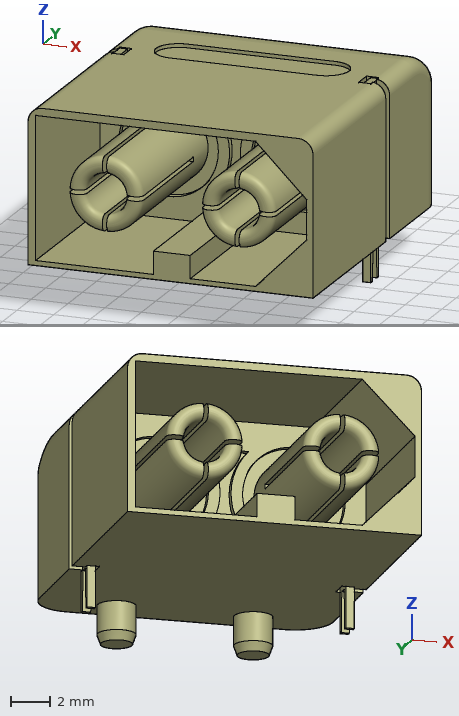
import cadquery as cq

WIDTH = 15.5
LENGTH = 18.2
HEIGHT = 8.4
BACK_TOP_RADIUS = 4.0
BACK_CORNER_RADIUS = 2.0
TOP_SIDE_RADIUS = 0.8

CAVITY_LEFT = -7.33
CAVITY_RIGHT = 7.4
CAVITY_BOTTOM = 0.27
CAVITY_TOP = 7.99
CAVITY_CORNER = 2.78
CAVITY_DEPTH = 9.0

KEY_WIDTH = 2.0
KEY_CENTER_X = 0.07
KEY_TOP = 1.51

CONTACT_SPACING = 7.2
CONTACT_Z = 4.15
CONTACT_DIAMETER = 4.0
CONTACT_BORE = 2.2
CONTACT_TIP_Y = 0.04
CONTACT_TIP_RADIUS = 0.4
CONTACT_SLOT_WIDTH = 0.24
CONTACT_SLOT_LENGTH = 7.28
CONTACT_RECESS_DIAMETER = 5.4

WALL_RECESS_DEPTH = 0.36
WALL_RECESS_BACK = CAVITY_DEPTH + WALL_RECESS_DEPTH
WEB_ARC_RADIUS = 3.31
WEB_TOP = 6.45
WEB_BOTTOM = 1.95

TOP_RECESS_LENGTH = 10.5
TOP_RECESS_WIDTH = 2.5
TOP_RECESS_Y = 11.47
TOP_RECESS_DEPTH = 0.2

CLIP_Y = 10.45
CLIP_WIDTH = 1.11
CLIP_THICKNESS = 0.44
CLIP_TOP = HEIGHT - 0.05
CLIP_OUTER_X = 7.05
CLIP_SLOT_INNER_X = 6.39
SIDE_SLIT_WIDTH = 0.55
LEG_LENGTH = 2.18
LEG_GAP_TOP = 0.42
LEG_GAP_BOTTOM = 0.64
LEG_GAP_DROP = 0.05

PEG_DIAMETER = 2.0
PEG_TIP_DIAMETER = 1.64
PEG_LENGTH = 2.02
PEG_TIP_LENGTH = 0.5
PEG_Y = 16.49

CONTACT_XS = (-CONTACT_SPACING / 2, CONTACT_SPACING / 2)


def box(x0, x1, y0, y1, z0, z1):
    return cq.Workplane("XY").box(x1 - x0, y1 - y0, z1 - z0, centered=False).translate((x0, y0, z0))


def rod_along_y(diameter, x, y0, y1):
    """Cylinder on a contact axis, from y0 to y1."""
    plane = cq.Workplane("XZ", origin=(x, y0, CONTACT_Z))
    return plane.circle(diameter / 2).extrude(y0 - y1)


def housing():
    """Block with a rounded back, kept where its plan shape and its side profile overlap."""
    block = cq.Workplane("XY").box(WIDTH, LENGTH, HEIGHT, centered=(True, False, False))
    plan = block.edges("|Z and >Y").fillet(BACK_CORNER_RADIUS)
    profile = block.edges(">Y and >Z").fillet(BACK_TOP_RADIUS)
    return plan.intersect(profile).faces(">Z").edges("|Y").fillet(TOP_SIDE_RADIUS)


def cavity():
    """Space of the mating cavity, leaving the key standing."""
    outline = [
        (CAVITY_LEFT, CAVITY_BOTTOM),
        (CAVITY_RIGHT - CAVITY_CORNER, CAVITY_BOTTOM),
        (CAVITY_RIGHT, CAVITY_BOTTOM + CAVITY_CORNER),
        (CAVITY_RIGHT, CAVITY_TOP - CAVITY_CORNER),
        (CAVITY_RIGHT - CAVITY_CORNER, CAVITY_TOP),
        (CAVITY_LEFT, CAVITY_TOP),
    ]
    space = cq.Workplane("XZ").polyline(outline).close().extrude(-CAVITY_DEPTH)
    key_left = KEY_CENTER_X - KEY_WIDTH / 2
    return space.cut(box(key_left, key_left + KEY_WIDTH, 0, CAVITY_DEPTH, 0, KEY_TOP))


def web_recess():
    """Hourglass recess whose sides are arcs about the two contact axes."""
    half_spacing = CONTACT_SPACING / 2
    recess = box(-half_spacing, half_spacing, CAVITY_DEPTH, WALL_RECESS_BACK, WEB_BOTTOM, WEB_TOP)
    for x in CONTACT_XS:
        recess = recess.cut(rod_along_y(2 * WEB_ARC_RADIUS, x, CAVITY_DEPTH, WALL_RECESS_BACK))
    return recess


def contact(x):
    """Tube with a rounded tip, split into four fingers by a cross of slots as deep as its bore."""
    tube = rod_along_y(CONTACT_DIAMETER, x, CONTACT_TIP_Y, WALL_RECESS_BACK)
    slot_end = CONTACT_TIP_Y + CONTACT_SLOT_LENGTH
    tube = tube.cut(rod_along_y(CONTACT_BORE, x, CONTACT_TIP_Y, slot_end))
    tube = tube.faces("<Y").edges().fillet(CONTACT_TIP_RADIUS)
    long_half = CONTACT_DIAMETER / 2
    thin_half = CONTACT_SLOT_WIDTH / 2
    for half_x, half_z in ((long_half, thin_half), (thin_half, long_half)):
        slot = box(x - half_x, x + half_x, CONTACT_TIP_Y, slot_end, CONTACT_Z - half_z, CONTACT_Z + half_z)
        tube = tube.cut(slot)
    return tube


def top_recess():
    plane = cq.Workplane("XY", origin=(0, TOP_RECESS_Y, HEIGHT))
    return plane.slot2D(TOP_RECESS_LENGTH, TOP_RECESS_WIDTH).extrude(-TOP_RECESS_DEPTH)


def clip_slot():
    """Right-hand clip slot and the slit joining it to the side face."""
    half_clip = CLIP_WIDTH / 2
    half_slit = SIDE_SLIT_WIDTH / 2
    slot = box(CLIP_SLOT_INNER_X, CLIP_OUTER_X, CLIP_Y - half_clip, CLIP_Y + half_clip, 0, HEIGHT)
    return slot.union(box(CLIP_OUTER_X, WIDTH / 2, CLIP_Y - half_slit, CLIP_Y + half_slit, 0, HEIGHT))


def clip():
    """Right-hand clip, forked into two legs below the housing."""
    half = CLIP_WIDTH / 2
    outline = [
        (CLIP_Y - half, CLIP_TOP),
        (CLIP_Y - half, -LEG_LENGTH),
        (CLIP_Y - LEG_GAP_BOTTOM / 2, -LEG_LENGTH),
        (CLIP_Y - LEG_GAP_TOP / 2, -LEG_GAP_DROP),
        (CLIP_Y + LEG_GAP_TOP / 2, -LEG_GAP_DROP),
        (CLIP_Y + LEG_GAP_BOTTOM / 2, -LEG_LENGTH),
        (CLIP_Y + half, -LEG_LENGTH),
        (CLIP_Y + half, CLIP_TOP),
    ]
    plane = cq.Workplane("YZ", origin=(CLIP_OUTER_X, 0, 0))
    return plane.polyline(outline).close().extrude(-CLIP_THICKNESS)


def peg(x):
    """Locating peg with a tapered tip."""
    pin = cq.Workplane("XY", origin=(x, PEG_Y, 0)).circle(PEG_DIAMETER / 2).extrude(-PEG_LENGTH)
    inset = (PEG_DIAMETER - PEG_TIP_DIAMETER) / 2
    return pin.faces("<Z").chamfer(PEG_TIP_LENGTH, inset)


result = housing().cut(cavity()).cut(web_recess()).cut(top_recess())

for x in CONTACT_XS:
    recess = rod_along_y(CONTACT_RECESS_DIAMETER, x, CAVITY_DEPTH, WALL_RECESS_BACK)
    result = result.cut(recess).union(contact(x)).union(peg(x))

for slot, blade in ((clip_slot(), clip()), (clip_slot().mirror("YZ"), clip().mirror("YZ"))):
    result = result.cut(slot).union(blade)